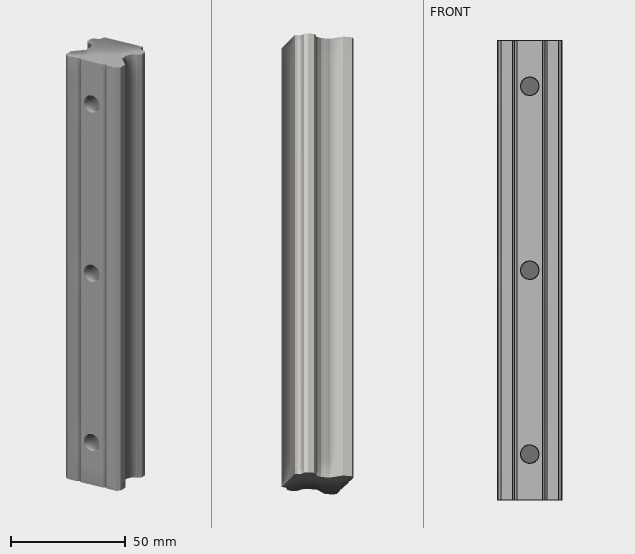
import cadquery as cq
import math

length = 200.0
width = 28.0
height = 26.0
half_width = width / 2

base_chamfer_width = 1.5
base_chamfer_height = 1.2
base_side_top = 5.2
waist_half_width = 9.2
waist_bottom = base_side_top + half_width - waist_half_width

waist_top = 13.8
track_inner_x = 9.8
track_inner_y = 15.0
track_outer_x = 12.0
track_outer_y = 17.2
track_radius = 3.2

land_outer_x = 12.5
head_side_bottom = 18.5
head_side_top = 21.2
shoulder_half_width = 12.8
shoulder_height = 22.8

upper_track_outer_x = 11.8
top_half_width = 10.0
upper_track_top = 25.2
upper_track_radius = 2.5

groove_center = 6.5
groove_half_width = 1.0
groove_depth = 0.8

hole_diameter = 8.0
hole_depth = 15.0
hole_pitch = 80.0
hole_count = 3


def arc_midpoint(start, end, radius):
    """Middle of the minor arc that bulges to the left of the line from start to end."""
    dx = end[0] - start[0]
    dy = end[1] - start[1]
    chord = math.hypot(dx, dy)
    rise = radius - math.sqrt(radius**2 - (chord / 2) ** 2)
    return (
        (start[0] + end[0]) / 2 - dy / chord * rise,
        (start[1] + end[1]) / 2 + dx / chord * rise,
    )


def make_rail():
    """Extrude the right half of the section and mirror it."""
    track_start = (track_inner_x, track_inner_y)
    track_end = (track_outer_x, track_outer_y)
    upper_track_start = (upper_track_outer_x, shoulder_height)
    upper_track_end = (top_half_width, upper_track_top)
    half = (
        cq.Workplane("XY")
        .moveTo(0, 0)
        .lineTo(groove_center - groove_half_width, 0)
        .lineTo(groove_center, groove_depth)
        .lineTo(groove_center + groove_half_width, 0)
        .lineTo(half_width - base_chamfer_width, 0)
        .lineTo(half_width, base_chamfer_height)
        .lineTo(half_width, base_side_top)
        .lineTo(waist_half_width, waist_bottom)
        .lineTo(waist_half_width, waist_top)
        .lineTo(*track_start)
        .threePointArc(arc_midpoint(track_start, track_end, track_radius), track_end)
        .lineTo(land_outer_x, track_outer_y)
        .lineTo(half_width, head_side_bottom)
        .lineTo(half_width, head_side_top)
        .lineTo(shoulder_half_width, shoulder_height)
        .lineTo(*upper_track_start)
        .threePointArc(
            arc_midpoint(upper_track_start, upper_track_end, upper_track_radius), upper_track_end
        )
        .lineTo(top_half_width, height)
        .lineTo(0, height)
        .close()
        .extrude(length)
    )
    return half.union(half.mirror("YZ")).clean()


def make_holes():
    """Flat-bottomed holes along the rail, centred on its length."""
    first_hole = (length - (hole_count - 1) * hole_pitch) / 2
    centers = [(0, first_hole + i * hole_pitch) for i in range(hole_count)]
    return cq.Workplane("XZ").pushPoints(centers).circle(hole_diameter / 2).extrude(-hole_depth)


result = make_rail().cut(make_holes())